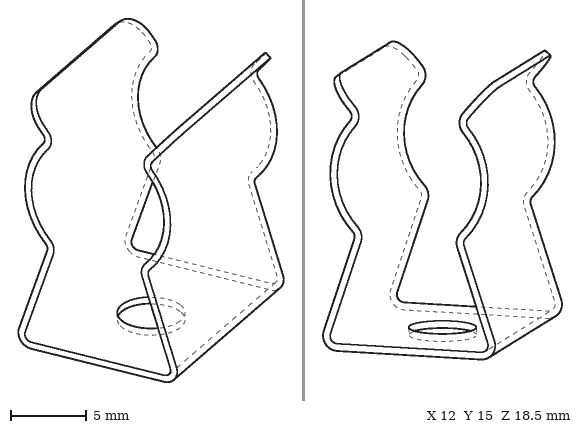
import cadquery as cq
import math


sheet = 0.5
clip_length = 15.0
base_width = 12.0
total_height = 18.5
bend_inside = 0.5
jaw_radius = 5.0
jaw_height = 12.0
waist_opening = 6.6
neck_opening = 7.0
lip_angle = 40.0
lip_corner_radius = 2.0
hole_diameter = 4.5

bend_outside = bend_inside + sheet
jaw_outside = jaw_radius + sheet
bend_pitch = jaw_outside + bend_inside


def polar(center, radius, angle):
    """Point at a radius and an angle in degrees from a centre."""
    a = math.radians(angle)
    return (center[0] + radius * math.cos(a), center[1] + radius * math.sin(a))


foot_center = (base_width / 2 - bend_outside, bend_outside)
jaw_center = (0.0, jaw_height)
waist_angle = math.degrees(math.acos((waist_opening / 2 + bend_outside) / bend_pitch))
neck_angle = math.degrees(math.acos((neck_opening / 2 + bend_outside) / bend_pitch))
waist_center = polar(jaw_center, bend_pitch, -waist_angle)
neck_center = polar(jaw_center, bend_pitch, neck_angle)

leg_run = foot_center[0] - waist_center[0]
leg_rise = waist_center[1] - foot_center[1]
leg_angle = math.degrees(
    math.atan2(leg_run, leg_rise)
    + math.asin((bend_outside + bend_inside) / math.hypot(leg_run, leg_rise))
)

bends = [
    (foot_center, bend_outside, bend_inside, -90, leg_angle),
    (waist_center, bend_inside, bend_outside, 180 + leg_angle, 180 - waist_angle),
    (jaw_center, jaw_outside, jaw_radius, -waist_angle, neck_angle),
    (neck_center, bend_inside, bend_outside, 180 + neck_angle, 180 - lip_angle),
]

lip_start = polar(neck_center, bend_outside, 180 - lip_angle)
lip_length = (total_height - lip_start[1]) / math.cos(math.radians(lip_angle))


def lip_end(skin_radius):
    """Free end of the lip on the skin that has this radius at the neck bend."""
    start = polar(neck_center, skin_radius, 180 - lip_angle)
    return polar(start, lip_length, 90 - lip_angle)


def add_arc(outline, center, radius, start, end):
    """Continue the outline around a bend."""
    middle = polar(center, radius, (start + end) / 2)
    return outline.threePointArc(middle, polar(center, radius, end))


def make_wall():
    """Half of the base with the +X wall, up to the rounded lip."""
    outline = cq.Workplane("XZ").moveTo(0, 0).lineTo(foot_center[0], 0)

    for center, outer, _, start, end in bends:
        if center == waist_center:
            outline = outline.lineTo(*polar(center, outer, start))
        outline = add_arc(outline, center, outer, start, end)
    outline = outline.lineTo(*lip_end(bend_inside)).lineTo(*lip_end(bend_outside))

    outline = outline.lineTo(*lip_start)
    for center, _, inner, start, end in reversed(bends):
        if center == foot_center:
            outline = outline.lineTo(*polar(center, inner, end))
        outline = add_arc(outline, center, inner, end, start)
    outline = outline.lineTo(0, sheet).close()

    wall = outline.extrude(clip_length / 2, both=True)
    across_x, across_z = polar((0, 0), 1, -lip_angle)
    across_lip = cq.Vector(across_x, 0, across_z)
    return wall.edges(cq.selectors.ParallelDirSelector(across_lip)).fillet(lip_corner_radius)


def make_hole():
    """Cutter for the mounting hole through the middle of the base."""
    return cq.Workplane("XY").circle(hole_diameter / 2).extrude(sheet)


right_wall = make_wall()
result = right_wall.union(right_wall.mirror("YZ")).cut(make_hole())